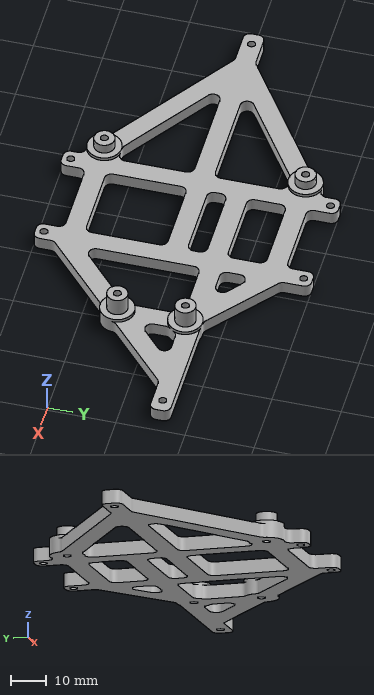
import cadquery as cq
import math

plate_height = 4.0
flange_height = 5.0
rear_post_height = 8.0
front_post_height = 10.5

flange_diameter = 10.0
post_diameter = 6.0
hole_diameter = 2.2
corner_radius = 2.0
pad_seam_angle = 30.0

bar_width = 6.0
half_bar = bar_width / 2
column_x = 15.0
column_end_y = 40.1
tab_hole_y = 37.55
top_rail_y = 28.7
bottom_rail_y = -29.5
center_rail_y = 0.0
arm_rail_y = 11.5

end_x = 76.02
end_hole_x = 72.0

rear_post_x = -21.45
front_post_x = 40.15
front_post_y = 9.83
rear_top_post = (rear_post_x, top_rail_y)
rear_bottom_post = (rear_post_x, bottom_rail_y)
front_top_post = (front_post_x, front_post_y)
front_bottom_post = (front_post_x, -front_post_y)
post_positions = [rear_top_post, rear_bottom_post, front_top_post, front_bottom_post]

rear_apex = (-64.0, center_rail_y)
shoulder = (column_x, 30.4)
arm_joint = (63.7, arm_rail_y)

column_inner_x = column_x - half_bar
column_outer_x = column_x + half_bar
tail_top = center_rail_y + half_bar
tail_bottom = center_rail_y - half_bar
arm_top = arm_rail_y + half_bar
arm_bottom = arm_rail_y - half_bar


class DiagonalEdge:
    """A slanted bar edge: the centre line from start to end, shifted to its left by offset."""

    def __init__(self, start, end, offset):
        dx = end[0] - start[0]
        dy = end[1] - start[1]
        self.slope = dy / dx
        self.intercept = start[1] - self.slope * start[0] + offset * math.hypot(dx, dy) / dx

    def at_x(self, x):
        return (x, self.slope * x + self.intercept)

    def at_y(self, y):
        return ((y - self.intercept) / self.slope, y)


rear_top_outer = DiagonalEdge(rear_apex, rear_top_post, half_bar)
rear_top_inner = DiagonalEdge(rear_apex, rear_top_post, -half_bar)
rear_bottom_outer = DiagonalEdge(rear_apex, rear_bottom_post, -half_bar)
rear_bottom_inner = DiagonalEdge(rear_apex, rear_bottom_post, half_bar)
front_top_outer = DiagonalEdge(shoulder, front_top_post, half_bar)
front_top_inner = DiagonalEdge(shoulder, front_top_post, -half_bar)
front_bottom_outer = DiagonalEdge(front_bottom_post, arm_joint, -half_bar)
front_bottom_inner = DiagonalEdge(front_bottom_post, arm_joint, half_bar)


def prism(points):
    return cq.Workplane("XY").polyline(points).close().extrude(plate_height)


def cylinder(position, diameter, height):
    return cq.Workplane("XY").circle(diameter / 2).extrude(height).translate((*position, 0))


def make_outline():
    """Sharp-cornered outline of the frame, listed clockwise from the tail end."""
    rail_top = top_rail_y + half_bar
    rail_bottom = bottom_rail_y - half_bar
    return prism([
        (-end_x, tail_bottom),
        (-end_x, tail_top),
        rear_top_outer.at_y(tail_top),
        rear_top_outer.at_x(rear_post_x - half_bar),
        (-column_outer_x, top_rail_y),
        (-column_outer_x, column_end_y),
        (-column_inner_x, column_end_y),
        (-column_inner_x, rail_top),
        (column_inner_x, rail_top),
        (column_inner_x, column_end_y),
        (column_outer_x, column_end_y),
        front_top_outer.at_x(column_outer_x),
        front_top_outer.at_y(arm_top),
        (end_x, arm_top),
        (end_x, arm_bottom),
        front_bottom_outer.at_y(arm_bottom),
        front_bottom_outer.at_x(column_outer_x),
        (column_outer_x, -column_end_y),
        (column_inner_x, -column_end_y),
        (column_inner_x, rail_bottom),
        (-column_inner_x, rail_bottom),
        (-column_inner_x, -column_end_y),
        (-column_outer_x, -column_end_y),
        (-column_outer_x, bottom_rail_y),
        rear_bottom_outer.at_x(rear_post_x - half_bar),
        rear_bottom_outer.at_y(tail_bottom),
    ])


def make_center_pockets():
    """Three rectangular pockets between the two columns."""
    rails = [bottom_rail_y, center_rail_y, arm_rail_y, top_rail_y]
    pockets = []
    for lower_rail, upper_rail in zip(rails, rails[1:]):
        y_min = lower_rail + half_bar
        y_max = upper_rail - half_bar
        pockets.append(prism([
            (-column_inner_x, y_min),
            (column_inner_x, y_min),
            (column_inner_x, y_max),
            (-column_inner_x, y_max),
        ]))
    return pockets


def make_rear_pocket(diagonal, rail_edge_y, post_y):
    """Pocket between the tail rail, a rear diagonal and the rear column."""
    return prism([
        diagonal.at_y(rail_edge_y),
        (-column_outer_x, rail_edge_y),
        (-column_outer_x, post_y),
        diagonal.at_x(rear_post_x),
    ])


def make_front_pockets():
    """Pockets at the shoulder, between the front column and the brace, and under the arm."""
    brace_rear_x = front_post_x - half_bar
    brace_front_x = front_post_x + half_bar
    shoulder_pocket = prism([
        (column_outer_x, arm_top),
        front_top_inner.at_y(arm_top),
        front_top_inner.at_x(column_outer_x),
    ])
    large_pocket = prism([
        (column_outer_x, arm_bottom),
        (brace_rear_x, arm_bottom),
        front_bottom_inner.at_x(brace_rear_x),
        front_bottom_inner.at_x(column_outer_x),
    ])
    arm_pocket = prism([
        (brace_front_x, arm_bottom),
        front_bottom_inner.at_y(arm_bottom),
        front_bottom_inner.at_x(brace_front_x),
    ])
    return [shoulder_pocket, large_pocket, arm_pocket]


def make_frame():
    """Flat frame with a round pad under each post and every corner rounded."""
    frame = make_outline()
    rear_pockets = [
        make_rear_pocket(rear_top_inner, tail_top, top_rail_y),
        make_rear_pocket(rear_bottom_inner, tail_bottom, bottom_rail_y),
    ]
    for opening in make_center_pockets() + make_front_pockets() + rear_pockets:
        frame = frame.cut(opening)
    for x, y in post_positions:
        pad = cylinder((0, 0), flange_diameter, plate_height).rotate((0, 0, 0), (0, 0, 1), pad_seam_angle)
        frame = frame.union(pad.translate((x, y, 0)))
    return frame.edges("|Z").fillet(corner_radius)


result = make_frame()

post_heights = [rear_post_height, rear_post_height, front_post_height, front_post_height]
for position, post_height in zip(post_positions, post_heights):
    result = result.union(cylinder(position, flange_diameter, flange_height))
    result = result.union(cylinder(position, post_diameter, post_height))

hole_positions = list(post_positions)
hole_positions += [(x, y) for x in (-column_x, column_x) for y in (-tab_hole_y, tab_hole_y)]
hole_positions += [(-end_hole_x, center_rail_y), (end_hole_x, arm_rail_y)]
for position in hole_positions:
    result = result.cut(cylinder(position, hole_diameter, front_post_height))